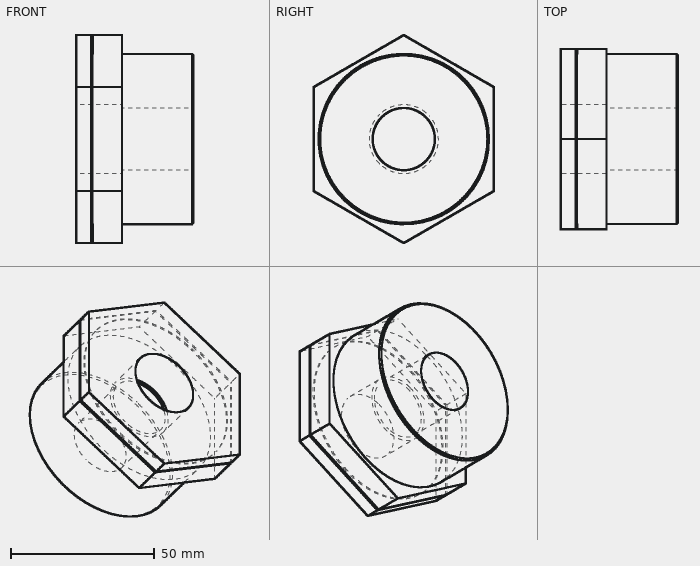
import cadquery as cq
import math

hex_across_corners = 72.75
total_length = 41.0

front_plate_thickness = 5.25
groove_width = 0.6
rear_plate_thickness = 10.25
rear_plate_start = front_plate_thickness + groove_width
flange_length = rear_plate_start + rear_plate_thickness

body_diameter = 59.6
rim_chamfer = 0.6
entry_bore_diameter = 24.15
through_bore_diameter = 21.7
entry_bore_depth = flange_length


def cylinder(diameter, length):
    """Cylinder along +X from the flange face."""
    return cq.Workplane("YZ").circle(diameter / 2).extrude(length)


def hex_plate(start, thickness):
    """Hexagonal plate with two corners on the Z axis."""
    corner_radius = hex_across_corners / 2
    corner_angles = [math.radians(90 + 60 * i) for i in range(6)]
    corners = [(corner_radius * math.cos(a), corner_radius * math.sin(a)) for a in corner_angles]
    return cq.Workplane("YZ", origin=(start, 0, 0)).polyline(corners).close().extrude(thickness)


body = cylinder(body_diameter, total_length).faces(">X").edges().chamfer(rim_chamfer)

flanged_body = (
    body
    .union(hex_plate(0, front_plate_thickness))
    .union(hex_plate(rear_plate_start, rear_plate_thickness))
)

result = (
    flanged_body
    .cut(cylinder(through_bore_diameter, total_length))
    .cut(cylinder(entry_bore_diameter, entry_bore_depth))
)